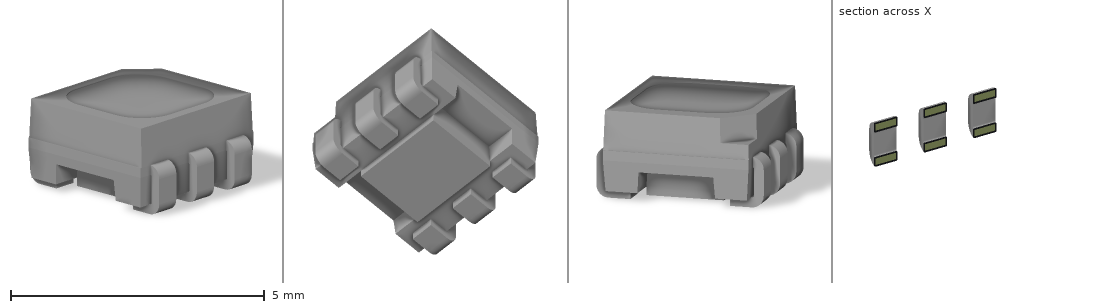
import math

import cadquery as cq

pad_bottom_z = 0.02
base_bottom_z = 0.19
channel_top_z = 0.62
band_bottom_z = 0.82
band_top_z = 1.02
notch_floor_z = 1.32
body_top_z = 1.82

body_width = 3.0
band_length = 3.3
upper_length = 3.25
base_draft = 4.0
upper_draft = 2.0
notch_leg = 0.58

window_side = 2.5
window_radius = 0.75
window_centre_y = -0.02
window_depth = 0.02

channel_width = 1.6
channel_draft = 4.0
pad_length = 2.0

lead_span = 3.45
lead_top_z = band_top_z
lead_thickness = 0.2
lead_width = 0.5
lead_pitch = 1.1
leads_per_side = 3
lead_outer_radius = 0.25
lead_inner_radius = lead_outer_radius - lead_thickness
foot_end_x = 1.025
lead_embed = 0.2


def make_base():
    """Lower body, narrowing downward from the middle band."""
    height = band_bottom_z - base_bottom_z
    band = (
        cq.Workplane("XY", origin=(0, 0, band_bottom_z))
        .rect(body_width, band_length)
        .extrude(band_top_z - band_bottom_z)
    )
    skirt = (
        cq.Workplane("XY", origin=(0, 0, band_bottom_z))
        .rect(body_width, band_length)
        .extrude(-height, taper=base_draft)
    )
    return band.union(skirt)


def make_upper_housing():
    """Drafted housing whose -X +Y corner is notched down to the notch floor."""
    lower_height = notch_floor_z - band_top_z
    lower = (
        cq.Workplane("XY", origin=(0, 0, band_top_z))
        .rect(body_width, upper_length)
        .extrude(lower_height, taper=upper_draft)
    )
    inset = lower_height * math.tan(math.radians(upper_draft))
    half_x = body_width / 2 - inset
    half_y = upper_length / 2 - inset
    notched = (
        cq.Workplane("XY", origin=(0, 0, notch_floor_z))
        .moveTo(-half_x, -half_y)
        .lineTo(half_x, -half_y)
        .lineTo(half_x, half_y)
        .lineTo(-half_x + notch_leg, half_y)
        .lineTo(-half_x, half_y - notch_leg)
        .close()
        .extrude(body_top_z - notch_floor_z, taper=upper_draft)
    )
    return lower.union(notched)


def make_window():
    """Rounded square sunk into the top face."""
    return (
        cq.Workplane("XY", origin=(0, window_centre_y, body_top_z - window_depth))
        .rect(window_side, window_side)
        .extrude(window_depth)
        .edges("|Z")
        .fillet(window_radius)
    )


def make_channel():
    """Channel along Y through the underside, narrowing upward."""
    height = channel_top_z - base_bottom_z
    half_bottom = channel_width / 2
    half_top = half_bottom - height * math.tan(math.radians(channel_draft))
    return (
        cq.Workplane("XZ")
        .moveTo(-half_bottom, base_bottom_z)
        .lineTo(half_bottom, base_bottom_z)
        .lineTo(half_top, channel_top_z)
        .lineTo(-half_top, channel_top_z)
        .close()
        .extrude(band_length / 2, both=True)
    )


def make_pad():
    """Thermal pad that fills the middle of the channel and stands below the base."""
    return cq.Workplane("XY", origin=(0, 0, pad_bottom_z)).box(
        channel_width, pad_length, channel_top_z - pad_bottom_z, centered=(True, True, False)
    )


def make_lead(y_centre):
    """Lead on the +X side: out of the body, down, and back under the base."""
    outer_x = lead_span / 2
    inner_x = outer_x - lead_thickness
    root_x = body_width / 2 - lead_embed
    outer_bend_x = outer_x - lead_outer_radius
    inner_bend_x = inner_x - lead_inner_radius
    inner_top_z = lead_top_z - lead_thickness
    profile = (
        cq.Workplane("XZ", origin=(0, y_centre, 0))
        .moveTo(root_x, lead_top_z)
        .lineTo(outer_bend_x, lead_top_z)
        .radiusArc((outer_x, lead_top_z - lead_outer_radius), lead_outer_radius)
        .lineTo(outer_x, lead_outer_radius)
        .radiusArc((outer_bend_x, 0), lead_outer_radius)
        .lineTo(foot_end_x, 0)
        .lineTo(foot_end_x, lead_thickness)
        .lineTo(inner_bend_x, lead_thickness)
        .radiusArc((inner_x, lead_thickness + lead_inner_radius), -lead_inner_radius)
        .lineTo(inner_x, inner_top_z - lead_inner_radius)
        .radiusArc((inner_bend_x, inner_top_z), -lead_inner_radius)
        .lineTo(root_x, inner_top_z)
        .close()
    )
    return profile.extrude(lead_width / 2, both=True)


body = make_base().union(make_upper_housing())
body = body.cut(make_window()).cut(make_channel()).union(make_pad())

for index in range(leads_per_side):
    lead = make_lead((index - (leads_per_side - 1) / 2) * lead_pitch)
    body = body.union(lead).union(lead.mirror("YZ"))

result = body